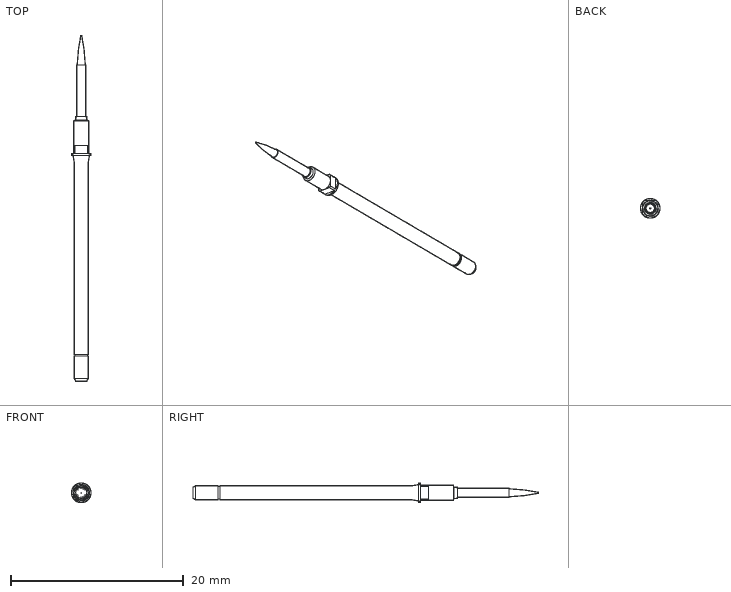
import cadquery as cq

LENGTH = 40.0

TIP_DIAMETER = 0.1
POINT_END = 1.65
POINT_DIAMETER = 0.7
TAPER_END = 3.45
TAPER_DIAMETER = 0.95
SHAFT_DIAMETER = 1.1
SHAFT_END = 9.4
NECK_DIAMETER = 1.3
NECK_END = 9.8
BODY_START = 9.9
BODY_DIAMETER = 1.75
SQUARE_START = 12.7
FLANGE_START = 13.7
FLANGE_WIDTH = 0.2
FLANGE_DIAMETER = 2.3
COLLAR_DIAMETER = 1.9
COLLAR_WIDTH = 0.85
ROD_DIAMETER = 1.65
GROOVE_START = 36.9
GROOVE_WIDTH = 0.2
GROOVE_DEPTH = 0.1
END_CHAMFER_LENGTH = 0.3
END_FACE_DIAMETER = 1.3

FLANGE_END = FLANGE_START + FLANGE_WIDTH
COLLAR_END = FLANGE_END + COLLAR_WIDTH
GROOVE_END = GROOVE_START + GROOVE_WIDTH
GROOVE_DIAMETER = ROD_DIAMETER - 2 * GROOVE_DEPTH
CHAMFER_START = LENGTH - END_CHAMFER_LENGTH


def y_at(station):
    """Y coordinate of a station, with the tip at half the length on +Y."""
    return LENGTH / 2 - station


def turned_body():
    """Solid of revolution from the tip to the rear end of the rod."""
    profile = [
        (0, 0),
        (TIP_DIAMETER, 0),
        (POINT_DIAMETER, POINT_END),
        (TAPER_DIAMETER, TAPER_END),
        (SHAFT_DIAMETER, TAPER_END),
        (SHAFT_DIAMETER, SHAFT_END),
        (NECK_DIAMETER, SHAFT_END),
        (NECK_DIAMETER, NECK_END),
        (BODY_DIAMETER, BODY_START),
        (BODY_DIAMETER, FLANGE_START),
        (FLANGE_DIAMETER, FLANGE_START),
        (FLANGE_DIAMETER, FLANGE_END),
        (COLLAR_DIAMETER, FLANGE_END),
        (ROD_DIAMETER, COLLAR_END),
        (ROD_DIAMETER, GROOVE_START),
        (GROOVE_DIAMETER, GROOVE_START),
        (GROOVE_DIAMETER, GROOVE_END),
        (ROD_DIAMETER, GROOVE_END),
        (ROD_DIAMETER, CHAMFER_START),
        (END_FACE_DIAMETER, LENGTH),
        (0, LENGTH),
    ]
    points = [(diameter / 2, y_at(station)) for diameter, station in profile]
    return cq.Workplane("XY").polyline(points).close().revolve(360, (0, 0, 0), (0, 1, 0))


def square_section():
    """Square as wide as the body, corners rounded to the flange diameter, in front of the flange."""
    length = FLANGE_START - SQUARE_START
    start = cq.Workplane("XZ", origin=(0, y_at(SQUARE_START), 0))
    square = start.rect(BODY_DIAMETER, BODY_DIAMETER).extrude(length)
    return square.intersect(start.circle(FLANGE_DIAMETER / 2).extrude(length))


result = turned_body().union(square_section())